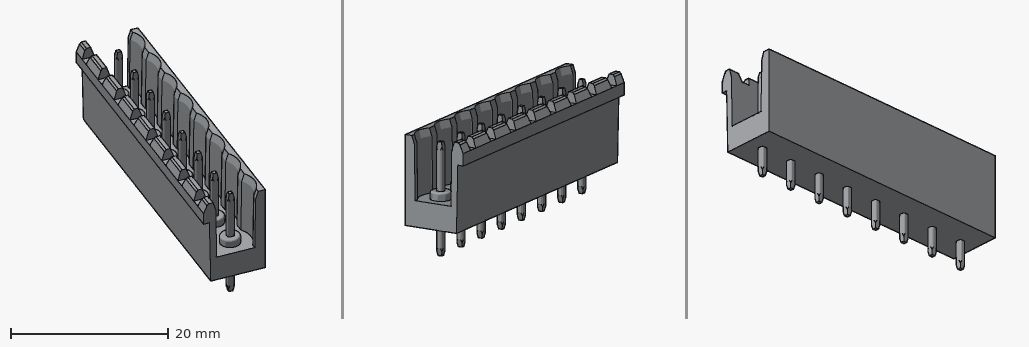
import cadquery as cq
import math

pin_count = 8
pin_row_y = -0.05
length = 40.0
pitch = length / pin_count
pin_x_positions = [(i + 0.5) * pitch - length / 2 for i in range(pin_count)]

floor_z = 3.5
hook_bottom_z = 9.05
notch_floor_z = 10.7
lead_in_z = 10.9
top_z = 12.0

back_y = 3.75
rear_wall_floor_y = 2.3
rear_wall_lead_in_y = 2.4
rear_wall_top_y = 2.75

front_foot_y = -3.85
front_under_hook_y = -4.05
hook_y = -4.85
hook_bevel_y = -4.35
hook_bevel_z = 11.75
hook_top_front_y = -4.1
hook_top_rear_y = -3.5
front_wall_lead_in_y = -3.1
front_wall_floor_y = -3.05

scallop_radius = 3.2
scallop_depth = 0.6

notch_floor_width = 1.2
notch_top_width = 1.8

pin_width = 0.95
pin_corner_radius = 0.3
pin_tip_width = 0.5
pin_tip_length = 1.05
pin_bottom_z = -4.0
pin_top_z = 11.05
collar_radius = 1.35
collar_top_z = 4.55
collar_fillet = 0.3


def make_channel():
    """U-shaped housing section, extruded along the whole length."""
    section = [
        (back_y, 0),
        (back_y, top_z),
        (rear_wall_top_y, top_z),
        (rear_wall_lead_in_y, lead_in_z),
        (rear_wall_floor_y, floor_z),
        (front_wall_floor_y, floor_z),
        (front_wall_lead_in_y, notch_floor_z),
        (hook_top_rear_y, top_z),
        (hook_top_front_y, top_z),
        (hook_bevel_y, hook_bevel_z),
        (hook_y, notch_floor_z),
        (hook_y, hook_bottom_z),
        (front_under_hook_y, hook_bottom_z),
        (front_foot_y, 0),
    ]
    return cq.Workplane("YZ").polyline(section).close().extrude(length / 2, both=True)


def make_scallop_stage(low_z, low_wall_y, high_z, high_wall_y):
    """Arc-fronted cutter, one pitch wide, that follows the rear wall's slope between two heights."""
    half_width = pitch / 2
    arc_rise = scallop_radius - math.sqrt(scallop_radius**2 - half_width**2)
    low_end_y = low_wall_y + scallop_depth - arc_rise
    return (
        cq.Workplane("XY", origin=(0, low_end_y, low_z))
        .moveTo(-half_width, 0)
        .threePointArc((0, arc_rise), (half_width, 0))
        .close()
        .workplane(offset=high_z - low_z, origin=(0, low_end_y + high_wall_y - low_wall_y, low_z))
        .moveTo(-half_width, 0)
        .threePointArc((0, arc_rise), (half_width, 0))
        .close()
        .loft(ruled=True)
    )


def make_scallop():
    """Scallop along the rear wall and its flared lead-in at the top."""
    wall = make_scallop_stage(floor_z, rear_wall_floor_y, lead_in_z, rear_wall_lead_in_y)
    lead_in = make_scallop_stage(lead_in_z, rear_wall_lead_in_y, top_z, rear_wall_top_y)
    return wall.union(lead_in)


def make_notch():
    """Flared slot across the hook, from the front face into the channel."""
    section = [
        (-notch_floor_width / 2, notch_floor_z),
        (notch_floor_width / 2, notch_floor_z),
        (notch_top_width / 2, top_z),
        (-notch_top_width / 2, top_z),
    ]
    return cq.Workplane("XZ").polyline(section).close().extrude(-hook_y)


def make_tip_envelope(base_z, tip_z):
    """Square frustum that narrows from the full pin width to the pin tip."""
    return (
        cq.Workplane("XY", origin=(0, 0, base_z))
        .rect(pin_width, pin_width)
        .workplane(offset=tip_z - base_z)
        .rect(pin_tip_width, pin_tip_width)
        .loft()
    )


def make_pin():
    """Square pin with rounded corners and a four-sided taper at each end."""
    shank_bottom_z = pin_bottom_z + pin_tip_length
    shank_top_z = pin_top_z - pin_tip_length
    envelope = (
        cq.Workplane("XY", origin=(0, 0, shank_bottom_z))
        .rect(pin_width, pin_width)
        .extrude(shank_top_z - shank_bottom_z)
        .union(make_tip_envelope(shank_bottom_z, pin_bottom_z))
        .union(make_tip_envelope(shank_top_z, pin_top_z))
    )
    rounded_bar = (
        cq.Workplane("XY", origin=(0, 0, pin_bottom_z))
        .rect(pin_width, pin_width)
        .extrude(pin_top_z - pin_bottom_z)
        .edges("|Z")
        .fillet(pin_corner_radius)
    )
    return rounded_bar.intersect(envelope)


def make_collar():
    """Round collar around the pin foot, rounded at the top rim."""
    return (
        cq.Workplane("XY")
        .circle(collar_radius)
        .extrude(collar_top_z)
        .faces(">Z")
        .edges()
        .fillet(collar_fillet)
    )


scallop = make_scallop()
notch = make_notch()
contact = make_collar().union(make_pin())

result = make_channel()
for x in pin_x_positions:
    result = result.cut(scallop.translate((x, 0, 0)))
    result = result.cut(notch.translate((x, 0, 0)))
for x in pin_x_positions:
    result = result.union(contact.translate((x, pin_row_y, 0)))